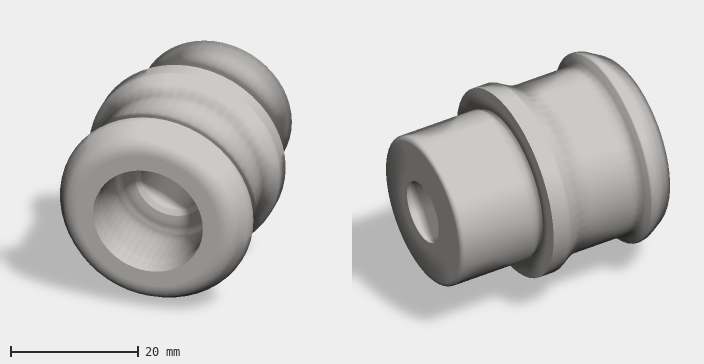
import cadquery as cq
import math

total_length = 37.5

stub_radius = 25.0 / 2
relief_radius = 12.22
flange_radius = 31.5 / 2
neck_radius = 28.0 / 2
lip_radius = 31.6 / 2

flange_back = 22.72
flange_front = 20.18
flange_round = 1.28
neck_blend = 5.0
cone_angle = 30.0

lip_face_radius = 11.7
lip_face_round = 3.0
lip_crest_round = 3.0
lip_edge_round = 0.38
lip_root_round = 1.0
lip_flank_angle = 27.0

relief_width = 0.38
relief_ramp = 0.68
stub_end_round = 0.75

socket_radius = 18.0 / 2
socket_depth = 13.0
socket_floor_round = 0.98
bore_radius = 10.3 / 2
bore_chamfer_width = 0.82
bore_chamfer_depth = 0.5

cone_slope = math.tan(math.radians(cone_angle))


def on_arc(center, radius, angle):
    """Point (radial, axial) on a round; 0 degrees points outward, 90 towards the stub end."""
    turn = math.radians(angle)
    return (center[0] + radius * math.cos(turn), center[1] + radius * math.sin(turn))


def add_arc(outline, center, radius, start, end):
    """Run straight to the start of a round, then follow it."""
    outline = outline.lineTo(*on_arc(center, radius, start))
    middle = on_arc(center, radius, (start + end) / 2)
    return outline.threePointArc(middle, on_arc(center, radius, end))


def make_body():
    face_center = (lip_face_radius, lip_face_round)
    crest_center_radius = lip_radius - lip_crest_round
    face_tangent = on_arc(face_center, lip_face_round, -cone_angle)
    crest_tangent_radius = on_arc((crest_center_radius, 0), lip_crest_round, -cone_angle)[0]
    crest_tangent_y = face_tangent[1] + (crest_tangent_radius - face_tangent[0]) / cone_slope
    crest_y = crest_tangent_y + lip_crest_round * math.sin(math.radians(cone_angle))
    crest_center = (crest_center_radius, crest_y)

    flank_turn = 90 - lip_flank_angle
    edge_center = (lip_radius - lip_edge_round, crest_y)
    edge_tangent = on_arc(edge_center, lip_edge_round, flank_turn)
    root_center_radius = neck_radius + lip_root_round
    root_tangent = on_arc((root_center_radius, 0), lip_root_round, flank_turn + 180)
    flank_run = (edge_tangent[0] - root_tangent[0]) * math.tan(math.radians(lip_flank_angle))
    root_center = (root_center_radius, edge_tangent[1] + flank_run - root_tangent[1])

    flange_center = (flange_radius - flange_round, flange_front)
    flange_tangent = on_arc(flange_center, flange_round, -cone_angle)
    blend_center_radius = neck_radius + neck_blend
    blend_tangent = on_arc((blend_center_radius, 0), neck_blend, 180 - cone_angle)
    cone_run = (flange_tangent[0] - blend_tangent[0]) / cone_slope
    blend_center = (blend_center_radius, flange_tangent[1] - cone_run - blend_tangent[1])

    relief_back = flange_back + relief_width
    end_center = (stub_radius - stub_end_round, total_length - stub_end_round)

    outline = cq.Workplane("XY").moveTo(0, 0)
    outline = add_arc(outline, face_center, lip_face_round, -90, -cone_angle)
    outline = add_arc(outline, crest_center, lip_crest_round, -cone_angle, 0)
    edge_middle = on_arc(edge_center, lip_edge_round, flank_turn / 2)
    outline = outline.threePointArc(edge_middle, edge_tangent)
    outline = add_arc(outline, root_center, lip_root_round, flank_turn + 180, 180)
    outline = add_arc(outline, blend_center, neck_blend, 180, 180 - cone_angle)
    outline = add_arc(outline, flange_center, flange_round, -cone_angle, 0)
    outline = outline.lineTo(flange_radius, flange_back)
    outline = outline.lineTo(relief_radius, flange_back)
    outline = outline.lineTo(relief_radius, relief_back)
    outline = outline.lineTo(stub_radius, relief_back + relief_ramp)
    outline = add_arc(outline, end_center, stub_end_round, 0, 90)
    outline = outline.lineTo(0, total_length).close()
    return outline.revolve(360, (0, 0, 0), (0, 1, 0))


def make_bore():
    floor_center = (socket_radius - socket_floor_round, socket_depth - socket_floor_round)
    outline = cq.Workplane("XY").moveTo(0, 0).lineTo(socket_radius, 0)
    outline = add_arc(outline, floor_center, socket_floor_round, 0, 90)
    outline = outline.lineTo(bore_radius + bore_chamfer_width, socket_depth)
    outline = outline.lineTo(bore_radius, socket_depth + bore_chamfer_depth)
    outline = outline.lineTo(bore_radius, total_length)
    outline = outline.lineTo(0, total_length).close()
    return outline.revolve(360, (0, 0, 0), (0, 1, 0))


result = make_body().cut(make_bore())